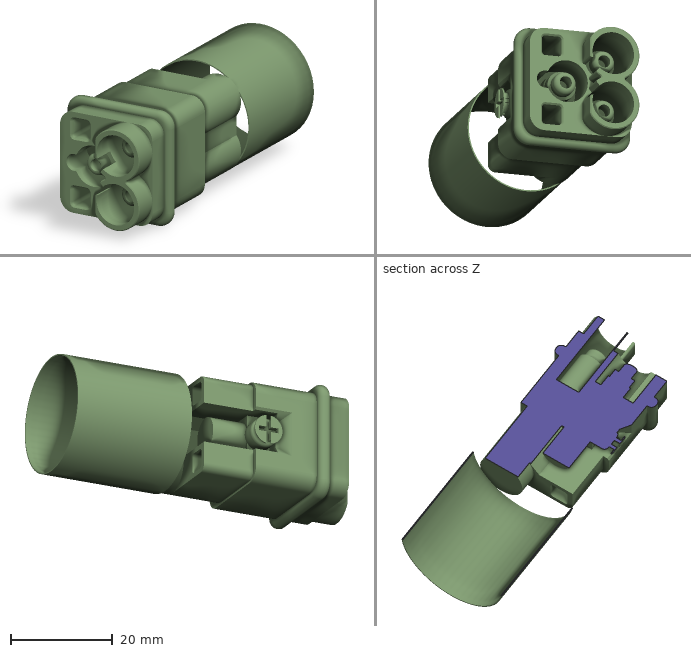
import cadquery as cq
import math


length = 64.95
body_front_y = 5.0
gasket_front_y = 9.5
gasket_back_y = 12.1
pocket_front_y = 17.5
slot_front_y = 20.4
screw_y = 22.85
body_back_y = 25.3
clamp_back_y = 32.75
block_back_y = 36.05
sleeve_front_y = 40.1

sleeve_radius = 12.0
sleeve_wall = 0.25

body_half = 10.5
body_corner = 3.0
gasket_half = 11.95
gasket_corner = 3.2
gasket_rounding = 1.2

power_x = 5.05
power_z = 5.05
conductor_radius = 5.0
conductor_web_half = 2.0
web_x = power_x - math.sqrt(conductor_radius**2 - (power_z - conductor_web_half) ** 2)
collar_radius = body_half - power_x
collar_flat_x = 0.3
collar_flat_rounding = 1.6
collar_chamfer = 0.2
collar_notch_rounding = 0.3
collar_gap_z = 3.8
collar_gap_angle = math.radians(49.0)
collar_gap_rounding = 0.4
collar_gap_overshoot = 0.25
bore_radius = 4.3
bore_floor_y = 16.9

ground_x = -2.85
recess_floor_y = 13.0
ground_base_radius = 3.2
ground_base_y = 10.4
key_half = 1.75
key_end_x = -9.1
clamp_radius = 3.6

pin_tip_y = 5.8
pin_radius = 2.3
pin_rounding = 0.9
pin_shoulder_y = 8.45
pin_shoulder_radius = 2.9
pin_hole_radius = 1.25
pin_hole_depth = 3.25

block_left_x = -9.15
block_half = power_z + conductor_radius
block_corner = 1.55

window_x = -5.9
window_z = 7.1
window_size = 4.0
window_corner = 0.65
window_chamfer = 0.3

slot_half = 4.1
slot_floor_half = 2.1
slot_floor_x = 0.8
pocket_half = 4.6
pocket_taper_y = 2.15
pocket_taper_z = 1.75
clamp_face_x = ground_x - clamp_radius

screw_face_x = -11.1
screw_radius = 3.0
screw_disc_thickness = 0.3
screw_shoulder_x = -9.75
screw_rounding = 0.85
cross_width = 1.0
cross_length = 4.2


def plane_at(y):
    """XZ sketch plane at the given y, with extrusions running toward +Y."""
    return cq.Workplane("XZ", origin=(0, y, 0))


def box(x, y, z):
    """Box given by its (low, high) ranges."""
    size = [high - low for low, high in (x, y, z)]
    return cq.Workplane("XY").box(*size, centered=False).translate((x[0], y[0], z[0]))


def rod(x, z, radius, y_start, y_end):
    return plane_at(y_start).center(x, z).circle(radius).extrude(y_start - y_end)


def rounded_square(half, corner, y_start, y_end):
    square = plane_at(y_start).rect(2 * half, 2 * half).extrude(y_start - y_end)
    return square.edges("|Y").fillet(corner)


def make_sleeve():
    outside = rod(0, 0, sleeve_radius, sleeve_front_y, length)
    return outside.cut(rod(0, 0, sleeve_radius - sleeve_wall, sleeve_front_y, length))


def make_gasket():
    gasket = rounded_square(gasket_half, gasket_corner, gasket_front_y, gasket_back_y)
    return gasket.faces("<Y or >Y").edges().fillet(gasket_rounding)


def make_rear_block():
    """Block with a lengthwise slot that narrows at 45 degrees to a flat floor."""
    block = box((block_left_x, power_x), (body_back_y, block_back_y), (-block_half, block_half))
    block = block.edges("|Y and <X").fillet(block_corner)
    taper_x = slot_floor_x - (slot_half - slot_floor_half)
    outline = [
        (block_left_x, slot_half),
        (taper_x, slot_half),
        (slot_floor_x, slot_floor_half),
        (slot_floor_x, -slot_floor_half),
        (taper_x, -slot_half),
        (block_left_x, -slot_half),
    ]
    slot = plane_at(body_back_y).polyline(outline).close().extrude(body_back_y - block_back_y)
    return block.cut(slot)


def make_conductors():
    """Two round conductors joined by a web, reaching from the body to the sleeve rim."""
    web = box(
        (web_x, 2 * power_x - web_x),
        (body_back_y, sleeve_front_y),
        (-conductor_web_half, conductor_web_half),
    )
    for side in (1, -1):
        web = web.union(rod(power_x, side * power_z, conductor_radius, body_back_y, sleeve_front_y))
    return web


def make_collar_gap():
    """Opening through the upper collar wall, facing the ground contact."""
    reach = collar_radius + collar_gap_overshoot
    outline = [
        (power_x, power_z),
        (power_x - reach * math.cos(collar_gap_angle), power_z - reach * math.sin(collar_gap_angle)),
        (power_x - reach, collar_gap_z),
        (power_x, collar_gap_z),
    ]
    return plane_at(0).polyline(outline).close().extrude(-body_front_y)


def make_collars():
    """Two joined collars in front of the body, each flat and open toward the ground contact."""
    collar = rod(power_x, power_z, collar_radius, 0, body_front_y)
    beyond_flat = box(
        (power_x - 2 * collar_radius, collar_flat_x),
        (0, body_front_y),
        (power_z - collar_radius, power_z + collar_radius),
    )
    collar = collar.cut(beyond_flat).edges("|Y and <X").fillet(collar_flat_rounding)
    pair = collar.union(collar.mirror("XY"))

    notch_offset = math.sqrt(collar_radius**2 - power_z**2)
    for x in (power_x - notch_offset, power_x + notch_offset):
        pair = pair.edges(cq.NearestToPointSelector((x, body_front_y / 2, 0))).fillet(collar_notch_rounding)

    pair = pair.faces("<Y").chamfer(collar_chamfer)

    gap = make_collar_gap()
    pair = pair.cut(gap).cut(gap.mirror("XY"))

    arm_x = power_x - collar_radius * math.cos(collar_gap_angle)
    arm_z = power_z - collar_radius * math.sin(collar_gap_angle)
    for x, z in ((collar_flat_x, collar_gap_z), (arm_x, arm_z)):
        for side in (1, -1):
            edge = cq.NearestToPointSelector((x, body_front_y / 2, side * z))
            pair = pair.edges(edge).fillet(collar_gap_rounding)
    return pair


def make_pin(x, z, floor_y):
    """Hollow pin with a rounded tip, standing on a wider shoulder."""
    pin = rod(x, z, pin_radius, pin_tip_y, floor_y).faces("<Y").edges().fillet(pin_rounding)
    pin = pin.union(rod(x, z, pin_shoulder_radius, pin_shoulder_y, floor_y))
    return pin.cut(rod(x, z, pin_hole_radius, pin_tip_y, pin_tip_y + pin_hole_depth))


def make_ground_recess():
    """Round recess with a round-ended key slot on its left."""
    recess = rod(ground_x, 0, bore_radius, body_front_y, recess_floor_y)
    key_x = key_end_x + key_half
    key_end = rod(key_x, 0, key_half, body_front_y, recess_floor_y)
    key = box((key_x, ground_x), (body_front_y, recess_floor_y), (-key_half, key_half))
    return recess.union(key).union(key_end)


def make_window(side):
    """Square latch window along the whole insert, chamfered at the mating face."""
    def square(size, corner):
        return cq.Sketch().rect(size, size).vertices().fillet(corner)

    plane = plane_at(body_front_y).center(window_x, side * window_z)
    window = plane.placeSketch(square(window_size, window_corner)).extrude(body_front_y - block_back_y)
    mouth = square(window_size + 2 * window_chamfer, window_corner + window_chamfer)
    return window.union(plane.placeSketch(mouth).extrude(-window_chamfer, taper=45))


def make_screw_opening():
    """Tapered pocket in the body side, and a deeper straight slot for the ground clamp."""
    pocket = (
        cq.Workplane("YZ", origin=(-body_half, 0, 0))
        .center((pocket_front_y + body_back_y + pocket_taper_y) / 2, 0)
        .rect(body_back_y + pocket_taper_y - pocket_front_y, 2 * pocket_half)
        .workplane(offset=block_left_x + body_half)
        .rect(body_back_y - pocket_taper_y - pocket_front_y, 2 * (pocket_half - pocket_taper_z))
        .loft(ruled=True)
    )
    pocket = pocket.intersect(
        box((-body_half, block_left_x), (pocket_front_y, body_back_y), (-pocket_half, pocket_half))
    )
    slot = box((-body_half, clamp_face_x), (slot_front_y, body_back_y), (-slot_half, slot_half))
    return pocket.union(slot)


def make_screw():
    """Cross-slotted screw: thin disc on a neck above a rounded shoulder."""
    def disc(radius, x_start, x_end):
        plane = cq.Workplane("YZ", origin=(x_start, screw_y, 0))
        return plane.circle(radius).extrude(x_end - x_start)

    shoulder = disc(screw_radius, screw_shoulder_x, clamp_face_x).faces("<X").edges().fillet(screw_rounding)
    head = disc(screw_radius, screw_face_x, screw_face_x + screw_disc_thickness)
    neck = disc(screw_radius - screw_rounding, screw_face_x, screw_shoulder_x)
    cross = cq.Workplane("YZ", origin=(screw_face_x, screw_y, 0))
    slot_depth = screw_shoulder_x - screw_face_x
    long_slot = cross.rect(cross_width, 2 * screw_radius).extrude(slot_depth)
    short_slot = cross.rect(cross_length, cross_width).extrude(slot_depth)
    return shoulder.union(head).union(neck).cut(long_slot).cut(short_slot)


result = rounded_square(body_half, body_corner, body_front_y, body_back_y)
result = result.union(make_gasket()).union(make_rear_block())
result = result.union(make_conductors()).union(make_sleeve())

result = result.union(make_collars())
for side in (1, -1):
    result = result.cut(rod(power_x, side * power_z, bore_radius, 0, bore_floor_y))
    result = result.union(make_pin(power_x, side * power_z, bore_floor_y))
    result = result.cut(make_window(side))

result = result.cut(make_ground_recess())
result = result.union(rod(ground_x, 0, ground_base_radius, ground_base_y, recess_floor_y))
result = result.union(make_pin(ground_x, 0, recess_floor_y))
result = result.cut(make_screw_opening())
result = result.union(rod(ground_x, 0, clamp_radius, body_back_y, clamp_back_y))
result = result.union(make_screw())